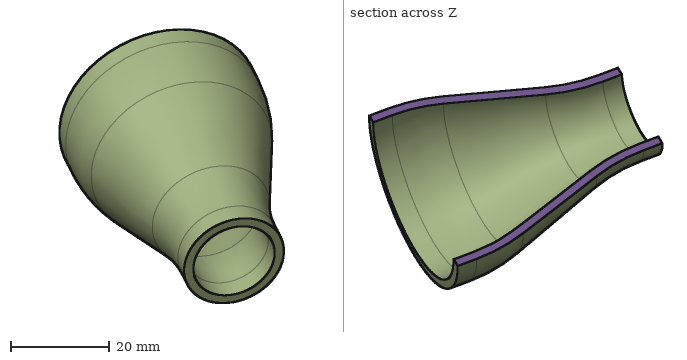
import cadquery as cq
import math

length = 51.0
large_radius = 42.4 / 2
small_radius = 21.3 / 2
wall = 2.0
collar_length = 4.3
bend_radius = 35.0

large_center = (collar_length, large_radius - bend_radius)
small_center = (length - collar_length, small_radius + bend_radius)

center_run = small_center[0] - large_center[0]
center_rise = small_center[1] - large_center[1]
center_distance = math.hypot(center_run, center_rise)
cone_angle = math.asin(2 * bend_radius / center_distance) - math.atan2(center_rise, center_run)


def convex_point(radius, angle):
    """Point on the large-end bend, turned by angle from its collar."""
    x, y = large_center
    return (x + radius * math.sin(angle), y + radius * math.cos(angle))


def concave_point(radius, angle):
    """Point on the small-end bend, turned by angle from its collar."""
    x, y = small_center
    return (x - radius * math.sin(angle), y - radius * math.cos(angle))


def reducer_solid(inset):
    """Solid bounded by the outer surface offset inwards by inset."""
    convex_radius = bend_radius - inset
    concave_radius = bend_radius + inset
    return (
        cq.Workplane("XY")
        .moveTo(0, 0)
        .lineTo(0, large_radius - inset)
        .lineTo(*convex_point(convex_radius, 0))
        .threePointArc(
            convex_point(convex_radius, cone_angle / 2),
            convex_point(convex_radius, cone_angle),
        )
        .lineTo(*concave_point(concave_radius, cone_angle))
        .threePointArc(
            concave_point(concave_radius, cone_angle / 2),
            concave_point(concave_radius, 0),
        )
        .lineTo(length, small_radius - inset)
        .lineTo(length, 0)
        .close()
        .revolve(360, (0, 0, 0), (1, 0, 0))
    )


result = reducer_solid(0).cut(reducer_solid(wall))